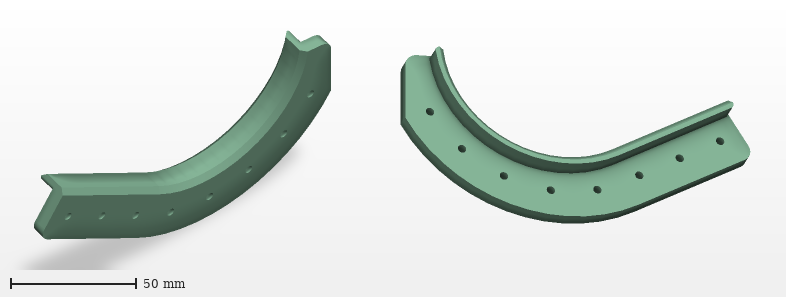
import cadquery as cq
import math

part_width = 14.0
flange_thickness = 6.0
rail_depth = 4.2
rim_chamfer = 2.3
inner_radius = 46.0
band_width = 24.0
outer_radius = inner_radius + band_width

arm_length = 58.5
arm_tilt = 33.2
arc_end_angle = 83.5
arc_sweep = arm_tilt + arc_end_angle
flat_side_y = 59.8

arm_corner_radius = 5.0
arc_corner_radius = 5.5
rail_end_radius = 1.9

hole_diameter = 3.5
hole_path_radius = 58.7
hole_pitch = 20.3
arc_hole_step = 19.6
arm_hole_count = 3
arc_hole_count = 5
first_arm_hole = 7.8


def cross_section():
    """Section at the tangent point, in the XZ plane below the arc centre."""
    flange_x = part_width - flange_thickness
    return cq.Workplane("XZ").polyline([
        (rim_chamfer, -inner_radius),
        (part_width - rim_chamfer, -inner_radius),
        (part_width, -inner_radius - rim_chamfer),
        (part_width, -outer_radius),
        (flange_x, -outer_radius),
        (flange_x, -inner_radius - rail_depth),
        (0, -inner_radius - rail_depth),
        (0, -inner_radius - rim_chamfer),
    ]).close()


def round_edge_at(body, y, z, radius):
    """Round the X-parallel edge nearest to the given Y and Z."""
    edge = cq.NearestToPointSelector((part_width / 2, y, z))
    return body.edges("|X").edges(edge).fillet(radius)


def hole_at(y, z):
    return cq.Workplane("YZ").center(y, z).circle(hole_diameter / 2).extrude(part_width)


arm = cross_section().extrude(arm_length)
arm = round_edge_at(arm, -arm_length, -outer_radius, arm_corner_radius)
arm = round_edge_at(arm, -arm_length, -inner_radius - rail_depth, rail_end_radius)

arc = cross_section().revolve(arc_sweep, (0, 0), (1, 0))
body = arm.union(arc)

for i in range(arm_hole_count):
    body = body.cut(hole_at(-first_arm_hole - i * hole_pitch, -hole_path_radius))

first_arc_angle = (hole_pitch - first_arm_hole) / hole_path_radius
for i in range(arc_hole_count):
    angle = first_arc_angle + i * math.radians(arc_hole_step)
    body = body.cut(hole_at(hole_path_radius * math.sin(angle), -hole_path_radius * math.cos(angle)))

body = body.rotate((0, 0, 0), (1, 0, 0), -arm_tilt)
trim_size = 2 * outer_radius
trim = cq.Workplane("XY").box(trim_size, trim_size, 2 * trim_size).translate(
    (0, flat_side_y + trim_size / 2, 0)
)
body = body.cut(trim)

rail_outer_radius = inner_radius + rail_depth
end_angle = math.radians(arc_end_angle)
rail_corner_y = rail_outer_radius * math.sin(end_angle)
rail_corner_z = -rail_outer_radius * math.cos(end_angle)
body = round_edge_at(body, rail_corner_y, rail_corner_z, rail_end_radius)

end_corner_z = -flat_side_y / math.tan(end_angle)
result = round_edge_at(body, flat_side_y, end_corner_z, arc_corner_radius)